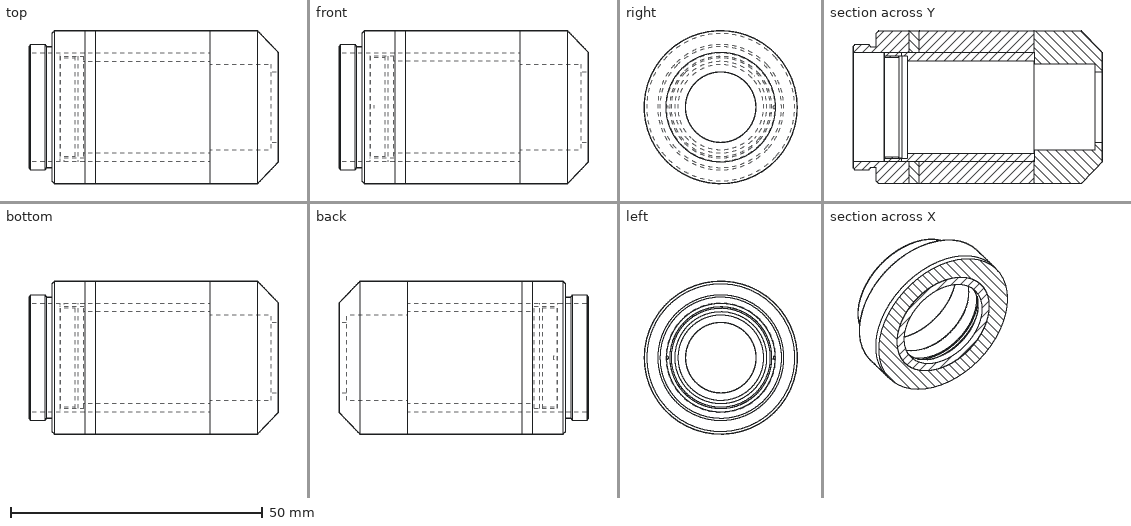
import cadquery as cq

overall_length = 49.6
body_diameter = 30.5
tip_diameter = 21.8
nose_cone_start = 45.4

collar_diameter = 25.05
neck_diameter = 24.15
collar_length = 3.45
collar_chamfer_length = 0.3
neck_length = 1.05
flange_chamfer = 0.55

mount_end = 11.15
spacer_end = 13.2
barrel_end = 36.0

bore_diameter = 21.6

lock_ring_start = 6.15
lock_ring_end = 9.7
lock_ring_bore = 20.3
liner_recess = 0.1
liner_end = 9.1
liner_bore = 19.7
notch_diameter = 0.75
notch_depth = 0.75

shoulder_position = 10.8
tube_bore = 18.3

nose_bore = 17.0
front_opening = 14.0
front_wall_thickness = 1.5


def turned(profile):
    """Revolve a closed outline of (x, diameter) points about the X axis."""
    points = [(x, diameter / 2) for x, diameter in profile]
    return cq.Workplane("XY").polyline(points).close().revolve(360, (0, 0, 0), (1, 0, 0))


def tube(start, end, outer_diameter, inner_diameter):
    """Plain cylindrical tube between two X positions."""
    return turned([
        (start, inner_diameter),
        (start, outer_diameter),
        (end, outer_diameter),
        (end, inner_diameter),
    ])


def make_mount():
    flange_start = collar_length + neck_length
    return turned([
        (0, bore_diameter),
        (0, neck_diameter),
        (collar_chamfer_length, collar_diameter),
        (collar_length - collar_chamfer_length, collar_diameter),
        (collar_length, neck_diameter),
        (flange_start, neck_diameter),
        (flange_start, body_diameter - 2 * flange_chamfer),
        (flange_start + flange_chamfer, body_diameter),
        (mount_end, body_diameter),
        (mount_end, bore_diameter),
    ])


def make_nose():
    front_wall_start = overall_length - front_wall_thickness
    return turned([
        (barrel_end, nose_bore),
        (barrel_end, body_diameter),
        (nose_cone_start, body_diameter),
        (overall_length, tip_diameter),
        (overall_length, front_opening),
        (front_wall_start, front_opening),
        (front_wall_start, nose_bore),
    ])


def make_notch_cutter(side):
    """Round cutter along X, centred on the rim of the lock ring at +Y or -Y."""
    return (
        cq.Workplane("YZ", origin=(lock_ring_start, 0, 0))
        .center(side * bore_diameter / 2, 0)
        .circle(notch_diameter / 2)
        .extrude(notch_depth)
    )


def make_lock_ring():
    ring = tube(lock_ring_start, lock_ring_end, bore_diameter, lock_ring_bore)
    ring = ring.rotate((0, 0, 0), (1, 0, 0), 90)
    for side in (-1, 1):
        ring = ring.cut(make_notch_cutter(side))
    return ring


def make_inner_tube():
    return turned([
        (lock_ring_end, lock_ring_bore),
        (lock_ring_end, bore_diameter),
        (barrel_end, bore_diameter),
        (barrel_end, tube_bore),
        (shoulder_position, tube_bore),
        (shoulder_position, lock_ring_bore),
    ])


mount = make_mount()
spacer_ring = tube(mount_end, spacer_end, body_diameter, bore_diameter)
barrel = tube(spacer_end, barrel_end, body_diameter, bore_diameter)
nose = make_nose()
lock_ring = make_lock_ring()
liner = tube(lock_ring_start + liner_recess, liner_end, lock_ring_bore, liner_bore)
inner_tube = make_inner_tube()

result = cq.Compound.makeCompound([
    mount.val(),
    spacer_ring.val(),
    barrel.val(),
    nose.val(),
    lock_ring.val(),
    liner.val(),
    inner_tube.val(),
])